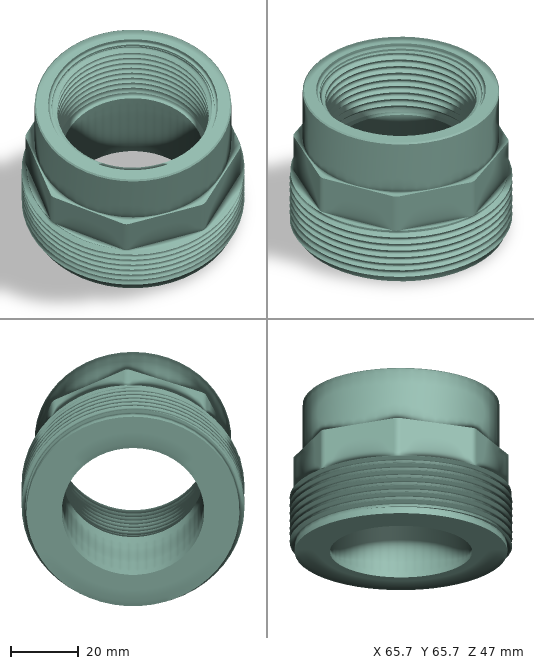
import cadquery as cq
import math

TOTAL_HEIGHT = 47.0
EXT_THREAD_BOTTOM = 2.0
OCTAGON_BOTTOM = 18.0
OCTAGON_TOP = 30.0
BORE_LEDGE = 24.5
MOUTH_DEPTH = 1.2
RELIEF_DEPTH = 0.7

INCH = 25.4
THREAD_PITCH = INCH / 11
FLANK_ANGLE = 55.0
THREAD_OVERLAP = 0.2

EXT_ROOT_DIAMETER = 62.75
EXT_CREST_DIAMETER = 65.71
EXT_CREST_HEIGHT = 1.5

INT_ROOT_DIAMETER = 47.8
INT_CREST_DIAMETER = 44.84
INT_CREST_HEIGHT = 24.64

SOCKET_DIAMETER = 58.0
SOCKET_RIM_CHAMFER = 0.4
OCTAGON_ACROSS_FLATS = 59.0
OCTAGON_SIDES = 8
OCTAGON_EDGE_RADIUS = 2.5
BORE_DIAMETER = 42.0
MOUTH_DIAMETER = 50.0
MOUTH_FLOOR_RADIUS = 0.4
RELIEF_DIAMETER = 48.0


def cylinder(diameter, bottom, top):
    """Round bar on the Z axis between two heights."""
    return cq.Workplane("XY").workplane(offset=bottom).circle(diameter / 2).extrude(top - bottom)


def thread_ridge(root_diameter, crest_diameter, crest_height, bottom, top):
    """Right-handed V ridge from root to crest, trimmed flat at both ends."""
    root = root_diameter / 2
    crest = crest_diameter / 2
    outward = math.copysign(1, crest - root)
    base = root - outward * THREAD_OVERLAP
    half_base = abs(crest - base) * math.tan(math.radians(FLANK_ANGLE / 2))

    turns_below = math.ceil((crest_height - bottom) / THREAD_PITCH) + 1
    start = crest_height - turns_below * THREAD_PITCH
    length = top - start + THREAD_PITCH

    helix = cq.Wire.makeHelix(THREAD_PITCH, length, root, cq.Vector(0, 0, start))
    profile = [(base, start - half_base), (crest, start), (base, start + half_base)]
    ridge = cq.Workplane("XZ").polyline(profile).close().sweep(cq.Workplane(helix), isFrenet=True)

    trim_diameter = 2 * max(crest_diameter, root_diameter)
    return ridge.intersect(cylinder(trim_diameter, bottom, top))


def octagon():
    across_corners = OCTAGON_ACROSS_FLATS / math.cos(math.pi / OCTAGON_SIDES)
    half_step = 180 / OCTAGON_SIDES
    return (
        cq.Workplane("XY")
        .workplane(offset=OCTAGON_BOTTOM)
        .polygon(OCTAGON_SIDES, across_corners)
        .extrude(OCTAGON_TOP - OCTAGON_BOTTOM)
        .edges("|Z")
        .fillet(OCTAGON_EDGE_RADIUS)
        .rotate((0, 0, 0), (0, 0, 1), half_step)
    )


def outer_body():
    threaded_core = cylinder(EXT_ROOT_DIAMETER, 0, OCTAGON_BOTTOM)
    socket = cylinder(SOCKET_DIAMETER, OCTAGON_BOTTOM, TOTAL_HEIGHT)
    socket = socket.faces(">Z").edges().chamfer(SOCKET_RIM_CHAMFER)
    return threaded_core.union(octagon()).union(socket)


def cavity():
    """Everything removed from the inside before the internal ridge is added."""
    mouth_floor = TOTAL_HEIGHT - MOUTH_DEPTH
    relief_floor = mouth_floor - RELIEF_DEPTH
    mouth = cylinder(MOUTH_DIAMETER, mouth_floor, TOTAL_HEIGHT)
    mouth = mouth.faces("<Z").edges().fillet(MOUTH_FLOOR_RADIUS)
    relief = cylinder(RELIEF_DIAMETER, relief_floor, mouth_floor)
    thread_hole = cylinder(INT_ROOT_DIAMETER, BORE_LEDGE, relief_floor)
    bore = cylinder(BORE_DIAMETER, 0, BORE_LEDGE)
    return bore.union(thread_hole).union(relief).union(mouth)


external_ridge = thread_ridge(
    EXT_ROOT_DIAMETER, EXT_CREST_DIAMETER, EXT_CREST_HEIGHT, EXT_THREAD_BOTTOM, OCTAGON_BOTTOM
)
internal_ridge = thread_ridge(
    INT_ROOT_DIAMETER,
    INT_CREST_DIAMETER,
    INT_CREST_HEIGHT,
    BORE_LEDGE,
    TOTAL_HEIGHT - MOUTH_DEPTH - RELIEF_DEPTH,
)

result = outer_body().cut(cavity()).union(external_ridge).union(internal_ridge)